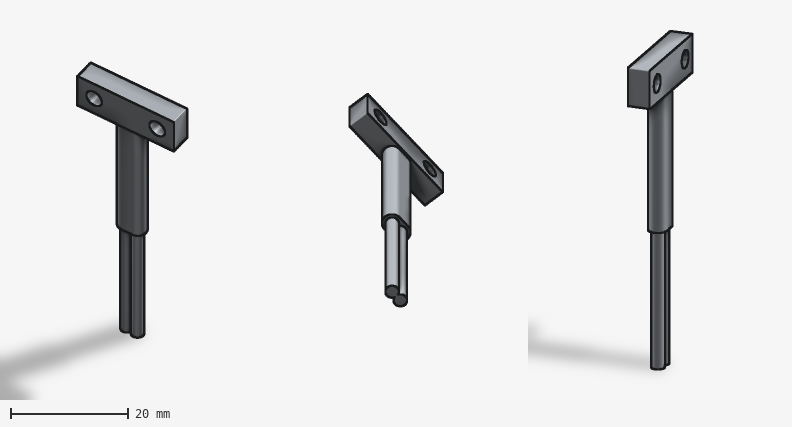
import cadquery as cq

total_height = 57.0

head_width = 20.0
head_depth = 4.0
head_height = 7.0
hole_diameter = 3.2
hole_spacing = 13.0
hole_drop = 3.5
corner_radius = 0.2

sheath_width = 5.7
sheath_depth = 3.4
sheath_length = 25.0

wire_diameter = 2.35
wire_spacing = 2.15
wire_length = total_height - head_height - sheath_length

sheath_bottom = -sheath_length


def make_head():
    """Block with rounded corners and two through holes."""
    block = (
        cq.Workplane("XY")
        .rect(head_width, head_depth)
        .extrude(head_height)
        .edges("|Y")
        .fillet(corner_radius)
    )
    holes = (
        cq.Workplane("XZ")
        .pushPoints([(side * hole_spacing / 2, head_height - hole_drop) for side in (-1, 1)])
        .circle(hole_diameter / 2)
        .extrude(head_depth / 2, both=True)
    )
    return block.cut(holes)


def make_sheath():
    """Oval sheath hanging below the head."""
    return cq.Workplane("XY").slot2D(sheath_width, sheath_depth).extrude(-sheath_length)


def make_wire(side):
    """One round wire below the sheath, on the side given by the sign."""
    return (
        cq.Workplane("XY", origin=(side * wire_spacing / 2, 0, sheath_bottom))
        .circle(wire_diameter / 2)
        .extrude(-wire_length)
    )


result = make_head().union(make_sheath())
for side in (-1, 1):
    result = result.union(make_wire(side))